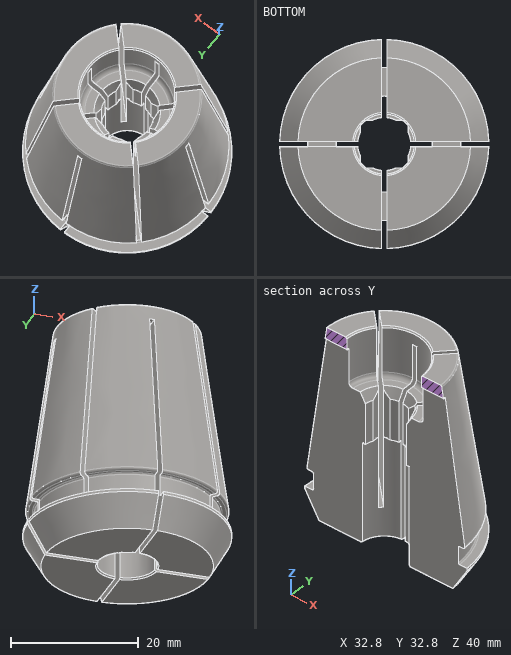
import cadquery as cq
import math


length = 40.0
flange_radius = 16.4
flange_rim_bottom = 5.0
flange_rim_top = 5.5
nose_angle = 30.0
groove_radius = 14.65
groove_top = 9.1
groove_corner_radius = 0.25
body_radius = 16.0
body_edge_radius = 0.4
taper_angle = 8.0
top_edge_radius = 0.25

shank_radius = 4.7
shank_depth = 20.0
shank_chamfer = 0.25
clearance_radius = 4.15
square_side = 7.45
lead_in_radius = 5.2
lead_in_angle = 30.0
counterbore_radius = 7.5
counterbore_floor = 30.0
counterbore_corner_radius = 0.85
counterbore_chamfer = 0.25

slot_width = 0.8
slots_per_end = 4
slot_overrun = 1.0
lower_slot_top = 37.5
upper_slot_bottom = 6.0

height_tolerance = 1e-6

slot_pitch = 360.0 / slots_per_end
slot_reach = flange_radius + slot_overrun
nose_radius = flange_radius - flange_rim_bottom * math.tan(math.radians(nose_angle))
top_radius = body_radius - (length - groove_top) * math.tan(math.radians(taper_angle))
lead_in_depth = (lead_in_radius - clearance_radius) / math.tan(math.radians(lead_in_angle))


def revolved(points):
    """Solid of revolution about Z from a closed (radius, height) outline."""
    return cq.Workplane("XZ").polyline(points).close().revolve(360, (0, 0, 0), (0, 1, 0))


def fillet_circles(solid, height, fillet_radius, min_radius=0.0, max_radius=math.inf):
    """Round the circular edges at one height whose radius lies between the limits."""
    circles = [
        edge
        for edge in solid.edges("%CIRCLE").vals()
        if abs(edge.Center().z - height) < height_tolerance
        and min_radius < edge.radius() < max_radius
    ]
    return solid.newObject([solid.val().fillet(fillet_radius, circles)])


def make_body():
    """Turned outside: nose cone, flange, nut groove and long taper."""
    body = revolved([
        (0, 0),
        (nose_radius, 0),
        (flange_radius, flange_rim_bottom),
        (flange_radius, flange_rim_top),
        (groove_radius, flange_rim_top),
        (groove_radius, groove_top),
        (body_radius, groove_top),
        (top_radius, length),
        (0, length),
    ])
    groove_limit = (groove_radius + body_radius) / 2
    body = fillet_circles(body, length, top_edge_radius)
    body = fillet_circles(body, groove_top, body_edge_radius, min_radius=groove_limit)
    for height in (flange_rim_top, groove_top):
        body = fillet_circles(body, height, groove_corner_radius, max_radius=groove_limit)
    return body


def make_shank_bore():
    """Round shank bore entered from the nose, with a chamfered mouth."""
    return revolved([
        (0, 0),
        (shank_radius + shank_chamfer, 0),
        (shank_radius, shank_chamfer),
        (shank_radius, shank_depth),
        (0, shank_depth),
    ])


def make_square_drive():
    """Square tap drive over a round clearance hole, opened by a conical lead-in."""
    height = counterbore_floor - shank_depth
    base = cq.Workplane("XY").workplane(offset=shank_depth)
    square = base.rect(square_side, square_side).extrude(height)
    clearance = base.circle(clearance_radius).extrude(height)
    lead_in = revolved([
        (0, counterbore_floor - lead_in_depth),
        (clearance_radius, counterbore_floor - lead_in_depth),
        (lead_in_radius, counterbore_floor),
        (0, counterbore_floor),
    ])
    return square.union(clearance).union(lead_in)


def make_counterbore():
    """Wide upper bore with a rounded floor corner and a chamfered mouth."""
    counterbore = revolved([
        (0, counterbore_floor),
        (counterbore_radius, counterbore_floor),
        (counterbore_radius, length - counterbore_chamfer),
        (counterbore_radius + counterbore_chamfer, length),
        (0, length),
    ])
    return fillet_circles(counterbore, counterbore_floor, counterbore_corner_radius)


def make_slots(bottom, top, first_angle):
    """Radial slots from the axis outward between two heights, equally spaced."""
    blade = cq.Workplane("XY").box(slot_reach, slot_width, top - bottom, centered=(False, True, False))
    blade = blade.translate((0, 0, bottom))
    slots = cq.Workplane("XY")
    for index in range(slots_per_end):
        slots = slots.union(blade.rotate((0, 0, 0), (0, 0, 1), first_angle + index * slot_pitch))
    return slots


result = (
    make_body()
    .cut(make_shank_bore())
    .cut(make_square_drive())
    .cut(make_counterbore())
    .cut(make_slots(0, lower_slot_top, 0))
    .cut(make_slots(upper_slot_bottom, length, slot_pitch / 2))
)